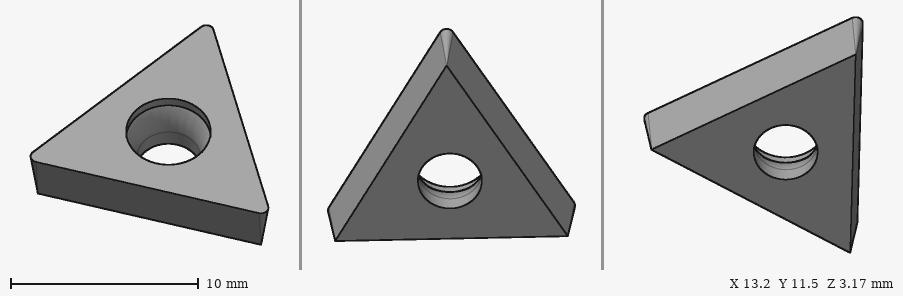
import cadquery as cq
import math

overall_length = 13.17
thickness = 3.17
nose_radius = 0.4
clearance_angle = 7.0

mouth_diameter = 4.5
bore_diameter = 3.4
mouth_depth = 0.58
seat_radius = 2.5


def tapered_body():
    """Rounded triangle that narrows from the top face down to the base."""
    sharp_side = overall_length + 2 * nose_radius * (math.sqrt(3) - 1)
    circumscribed_radius = sharp_side / math.sqrt(3)
    top_outline = (
        cq.Sketch()
        .regularPolygon(circumscribed_radius, 3)
        .vertices()
        .fillet(nose_radius)
    )
    return (
        cq.Workplane("XY")
        .workplane(offset=thickness)
        .placeSketch(top_outline)
        .extrude(-thickness, taper=clearance_angle)
    )


def screw_hole():
    """Revolved cutter whose seat arc meets the bore tangentially."""
    mouth_radius = mouth_diameter / 2
    bore_radius = bore_diameter / 2
    seat_top = thickness - mouth_depth

    seat_step = mouth_radius - bore_radius
    seat_height = math.sqrt(seat_radius**2 - (seat_radius - seat_step) ** 2)
    seat_bottom = seat_top - seat_height
    arc_center = bore_radius + seat_radius
    half_sweep = math.asin(seat_height / seat_radius) / 2
    seat_middle = (
        arc_center - seat_radius * math.cos(half_sweep),
        seat_bottom + seat_radius * math.sin(half_sweep),
    )
    return (
        cq.Workplane("XZ")
        .moveTo(0, 0)
        .lineTo(bore_radius, 0)
        .lineTo(bore_radius, seat_bottom)
        .threePointArc(seat_middle, (mouth_radius, seat_top))
        .lineTo(mouth_radius, thickness)
        .lineTo(0, thickness)
        .close()
        .revolve(360, (0, 0, 0), (0, 1, 0))
    )


result = tapered_body().cut(screw_hole())